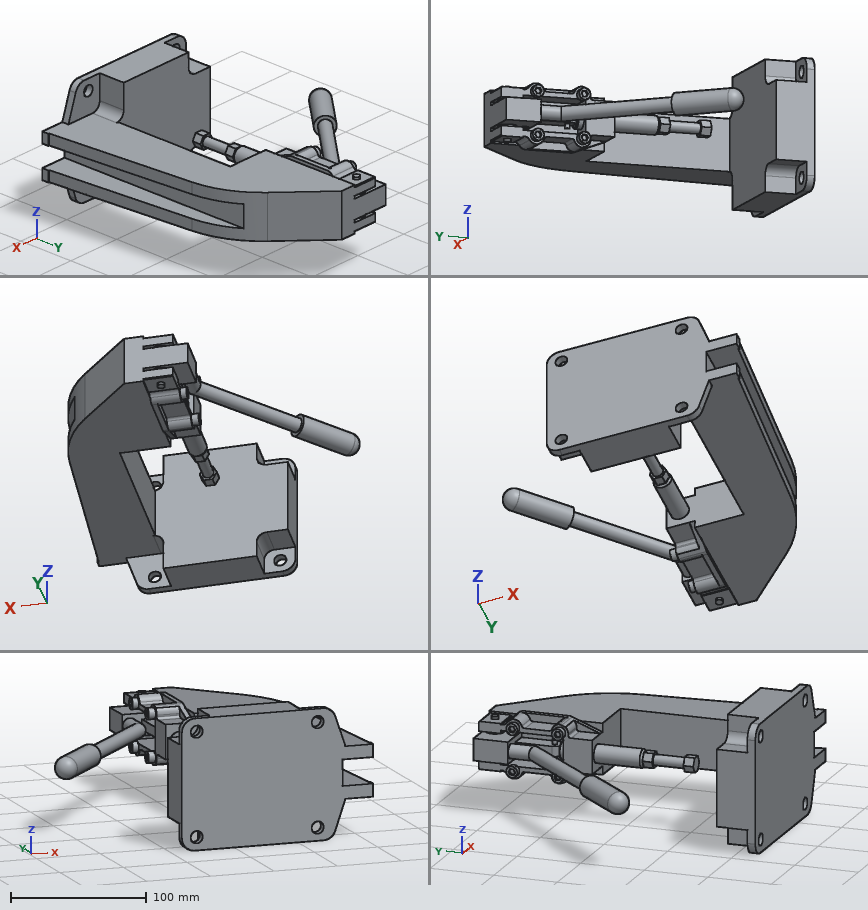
import cadquery as cq
import math


total_length = 232.0
total_width = 218.0
base_height = 100.0
base_top_y = 30.5
flange_thickness = 6.3
corner_radius = 10.0
hole_diameter = 9.3
hole_near_x = 11.5
hole_far_x = 106.7
hole_z = 40.0
taper_start_x = 118.3
taper_end_x = 128.5
notch_fillet = 7.7
front_notch_x = 23.7
front_notch_z = 30.0
rear_notch_x = 94.5

frame_half = 20.0
lug_end_x = 150.3
fork_half_gap = 10.0
fork_root_x = 126.2
column_x = 100.7
column_foot_x = 149.5
head_face_x = 62.0
head_bottom_y = 143.0
head_top_x = 76.3
back_corner_x = 137.4
back_corner_y = 171.2
back_radius = 83.5

housing_face_x = 39.5
back_plate_x = 57.5
boss_radius = 6.5
boss_z = 16.5
upper_boss_y = 204.5
lower_boss_y = 168.2
shoulder_y = 214.6
shoulder_z = 17.6
rail_z = 17.0
nose_z = 13.2
pocket_bottom_y = 165.5
blend_radius = 2.5
shoulder_blend_radius = 5.3
nose_blend_radius = 2.0
arm_z = 18.5
arm_gap_z = 11.0
arm_bevel = 0.7
plate_top_z = boss_z + boss_radius

screw_radius = 4.5
upper_screw_x = 34.8
lower_screw_x = 34.0
socket_diameter = 5.0
socket_depth = 2.3

mechanism_x = 50.3
lever_half = 8.5
lever_x = 28.0
lever_bottom_y = 204.9
pivot_y = 223.2
pivot_radius = 2.8
pivot_half = 20.6
washer_radius = 7.0
handle_angle = 43.0
rod_radius = 5.5
elbow_x = 34.0
elbow_y = 186.5
grip_radius = 8.5
grip_length = 45.0
link_half = 4.0
link_width = 13.5
upper_link_pin_y = 209.7
upper_link_pin_radius = 3.0
upper_link_pin_half = 9.3
lower_link_pin_y = 176.0
lower_link_pin_radius = 1.9
lower_link_pin_half = 7.2

ram_radius = 7.2
ram_top_y = 170.5
ram_top_chamfer = 1.0
ram_tip_chamfer = 1.9
nut_diameter = 13.2
nut_top_y = 105.0
nut_height = 7.7
stem_radius = 4.2
foot_bottom_y = 65.0
foot_height = 8.0


def box(x0, x1, y0, y1, z0, z1):
    """Box between opposite corners."""
    return cq.Workplane("XY").box(x1 - x0, y1 - y0, z1 - z0, centered=False).translate((x0, y0, z0))


def mid_box(x0, x1, y0, y1, half):
    """Box centred on the mid-plane."""
    return box(x0, x1, y0, y1, -half, half)


def cylinder(radius, start, direction, length):
    return cq.Workplane(cq.Solid.makeCylinder(radius, length, cq.Vector(*start), cq.Vector(*direction)))


def z_pin(x, y, radius, half):
    """Pin along Z, centred on the mid-plane."""
    return cylinder(radius, (x, y, -half), (0, 0, 1), 2 * half)


def xz_prism(points, y0, y1):
    """Outline in X and Z, extruded along +Y."""
    return cq.Workplane("XZ", origin=(0, y0, 0)).polyline(points).close().extrude(y0 - y1)


def yz_prism(points, x0, x1):
    """Outline in Y and Z, extruded along +X."""
    return cq.Workplane("YZ", origin=(x0, 0, 0)).polyline(points).close().extrude(x1 - x0)


def both_sides(upper):
    """A solid together with its mirror image below the mid-plane."""
    return upper.union(upper.mirror("XY"))


def make_base():
    half = base_height / 2
    flange = xz_prism(
        [(0, -half), (taper_start_x, -half), (taper_end_x, -frame_half),
         (taper_end_x, frame_half), (taper_start_x, half), (0, half)],
        0, flange_thickness,
    )
    flange = flange.faces("<Z or >Z").edges("|Y").fillet(corner_radius)
    flange = flange.union(mid_box(fork_root_x, lug_end_x, 0, flange_thickness, frame_half))
    for x in (hole_near_x, hole_far_x):
        for z in (-hole_z, hole_z):
            flange = flange.cut(cylinder(hole_diameter / 2, (x, 0, z), (0, 1, 0), flange_thickness))

    block = mid_box(0, fork_root_x, flange_thickness, base_top_y, half)
    front_notch = box(0, front_notch_x, flange_thickness, base_top_y, front_notch_z, half)
    front_notch = front_notch.edges("|Y and >X and <Z").fillet(notch_fillet)
    rear_notch = box(rear_notch_x, fork_root_x, flange_thickness, base_top_y, frame_half, half)
    rear_notch = rear_notch.edges("|Y and <X and <Z").fillet(notch_fillet)
    block = block.cut(both_sides(front_notch)).cut(both_sides(rear_notch))
    return flange.union(block)


def make_frame():
    outline = [
        (column_x, flange_thickness), (column_foot_x, flange_thickness), (back_corner_x, back_corner_y),
        (head_top_x, total_length), (head_face_x, total_length),
        (head_face_x, head_bottom_y), (column_x, head_bottom_y),
    ]
    frame = cq.Workplane("XY").polyline(outline).close().extrude(frame_half, both=True)
    back_edge = cq.selectors.NearestToPointSelector((back_corner_x, back_corner_y, 0))
    return frame.edges("|Z").edges(back_edge).fillet(back_radius)


def boss_blend(boss_y, side, floor_z, radius, x_end):
    """Concave fillet between a boss and the flat at floor_z; side is the Y direction of the flat."""
    centre_z = floor_z + radius
    reach = math.sqrt((boss_radius + radius) ** 2 - (centre_z - boss_z) ** 2)
    centre_y = boss_y + side * reach
    filler = yz_prism(
        [(boss_y, boss_z), (centre_y, centre_z), (centre_y, nose_z), (boss_y, nose_z)],
        housing_face_x, x_end,
    )
    start = (housing_face_x, centre_y, centre_z)
    return filler.cut(cylinder(radius, start, (1, 0, 0), x_end - housing_face_x))


def make_housing():
    guide = box(housing_face_x, back_plate_x, head_bottom_y, lower_boss_y, 0, nose_z)
    guide = guide.union(box(housing_face_x, back_plate_x, lower_boss_y, upper_boss_y, 0, rail_z))
    guide = guide.union(box(housing_face_x, head_face_x, upper_boss_y, shoulder_y, 0, shoulder_z))
    for boss_y, end_x in ((lower_boss_y, back_plate_x), (upper_boss_y, head_face_x)):
        boss_start = (housing_face_x, boss_y, boss_z)
        guide = guide.union(cylinder(boss_radius, boss_start, (1, 0, 0), end_x - housing_face_x))
    guide = guide.union(boss_blend(lower_boss_y, 1, rail_z, blend_radius, back_plate_x))
    guide = guide.union(boss_blend(upper_boss_y, -1, rail_z, blend_radius, back_plate_x))
    guide = guide.union(boss_blend(upper_boss_y, 1, shoulder_z, shoulder_blend_radius, head_face_x))

    wall_y = lower_boss_y - boss_radius
    blend_y = wall_y - nose_blend_radius
    blend_z = nose_z + nose_blend_radius
    blend_length = back_plate_x - housing_face_x
    nose_corner = box(housing_face_x, back_plate_x, blend_y, wall_y, nose_z, blend_z)
    nose_corner = nose_corner.cut(
        cylinder(nose_blend_radius, (housing_face_x, blend_y, blend_z), (1, 0, 0), blend_length)
    )
    guide = guide.union(nose_corner)
    guide = guide.union(box(housing_face_x, back_plate_x, wall_y, lower_boss_y, 0, boss_z))

    envelope = yz_prism(
        [(head_bottom_y, 0), (head_bottom_y, nose_z), (lower_boss_y, plate_top_z),
         (shoulder_y, plate_top_z), (shoulder_y, 0)],
        housing_face_x, head_face_x,
    )
    slope_edge = cq.selectors.NearestToPointSelector((housing_face_x, lower_boss_y, plate_top_z))
    envelope = envelope.edges("|X").edges(slope_edge).fillet(boss_radius)
    plate = envelope.intersect(box(back_plate_x, head_face_x, head_bottom_y, upper_boss_y, 0, plate_top_z))
    guide = guide.intersect(envelope).union(plate)

    arm = box(housing_face_x, head_face_x, shoulder_y, total_length, arm_gap_z, arm_z)
    arm = arm.edges(">Y and >Z").chamfer(arm_bevel)
    pocket = box(housing_face_x, back_plate_x, pocket_bottom_y, shoulder_y, 0, nose_z)
    return both_sides(guide.cut(pocket).union(arm))


def make_screw(y, head_x, z):
    head = cylinder(screw_radius, (head_x, y, z), (1, 0, 0), housing_face_x - head_x)
    socket = cq.Workplane("YZ", origin=(head_x, y, z)).polygon(6, socket_diameter).extrude(socket_depth)
    return head.cut(socket)


def make_lever():
    lever = mid_box(lever_x, head_face_x, lever_bottom_y, total_length, lever_half)
    lever = lever.union(z_pin(mechanism_x, pivot_y, washer_radius, arm_gap_z))
    return lever.union(z_pin(mechanism_x, pivot_y, pivot_radius, pivot_half))


def make_handle():
    angle = math.radians(handle_angle)
    along = (-math.sin(angle), -math.cos(angle), 0)
    tip_x = lug_end_x - total_width
    rod_length = (elbow_x - tip_x - grip_radius) / math.sin(angle)
    elbow = (elbow_x, elbow_y, 0)
    grip_end = tuple(p + rod_length * d for p, d in zip(elbow, along))
    back_along = tuple(-d for d in along)

    handle = cylinder(rod_radius, (elbow_x, lever_bottom_y, 0), (0, -1, 0), lever_bottom_y - elbow_y)
    handle = handle.union(cq.Workplane("XY").sphere(rod_radius).translate(elbow))
    handle = handle.union(cylinder(rod_radius, elbow, along, rod_length))
    handle = handle.union(cylinder(grip_radius, grip_end, back_along, grip_length))
    return handle.union(cq.Workplane("XY").sphere(grip_radius).translate(grip_end))


def make_link():
    link = mid_box(
        mechanism_x - link_width / 2, mechanism_x + link_width / 2,
        lower_link_pin_y, upper_link_pin_y, link_half,
    )
    link = link.union(z_pin(mechanism_x, lower_link_pin_y, link_width / 2, link_half))
    link = link.union(z_pin(mechanism_x, upper_link_pin_y, upper_link_pin_radius, upper_link_pin_half))
    return link.union(z_pin(mechanism_x, lower_link_pin_y, lower_link_pin_radius, lower_link_pin_half))


def make_ram():
    foot_top_y = foot_bottom_y + foot_height
    axis_plane = cq.Workplane("XZ").center(mechanism_x, 0)
    ram = cylinder(ram_radius, (mechanism_x, nut_top_y, 0), (0, 1, 0), ram_top_y - nut_top_y)
    ram = ram.faces(">Y").chamfer(ram_top_chamfer)
    ram = ram.faces("<Y").chamfer(ram_tip_chamfer)
    ram = ram.union(cylinder(stem_radius, (mechanism_x, foot_top_y, 0), (0, 1, 0), nut_top_y - foot_top_y))
    for top_y, height in ((nut_top_y, nut_height), (foot_top_y, foot_height)):
        nut = axis_plane.polygon(6, nut_diameter).extrude(height).translate((0, top_y, 0))
        ram = ram.union(nut)
    return ram


fork_gap = mid_box(fork_root_x, lug_end_x, 0, total_length, fork_half_gap)
result = make_base().union(make_frame()).cut(fork_gap)
result = result.union(make_housing())
for screw_y, screw_x in ((upper_boss_y, upper_screw_x), (lower_boss_y, lower_screw_x)):
    for side in (-1, 1):
        result = result.union(make_screw(screw_y, screw_x, side * boss_z))
for piece in (make_lever(), make_handle(), make_link(), make_ram()):
    result = result.union(piece)